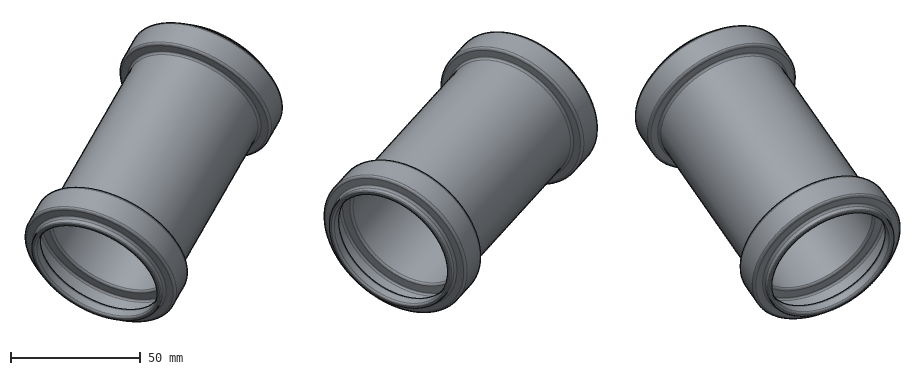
import cadquery as cq

length = 106.0
tube_radius = 54.9 / 2
bore_radius = 50.8 / 2
mouth_radius = 51.1 / 2
collar_radius = 64.1 / 2
groove_radius = 60.3 / 2

collar_start = 3.0
collar_end = 15.7
flank_taper = 0.5
collar_wall = collar_radius - groove_radius
groove_start = collar_start + collar_wall
groove_end = collar_end - collar_wall

crest_fillet = 1.1
root_fillet = 1.0
groove_fillet = 0.8
lip_fillet = 1.0
rim_outer_fillet = 0.4
rim_inner_fillet = 0.8

EDGE_TOLERANCE = 0.05
RADIAL_MARGIN = 1.1

ENDS = (-1, 1)


def end_y(side, distance):
    """Y position at the given distance inwards from one tube end."""
    return side * (length / 2 - distance)


def cylinder(radius, y_start, y_end):
    """Solid cylinder about the Y axis."""
    profile = cq.Workplane("XY").moveTo(0, y_start).lineTo(radius, y_start)
    profile = profile.lineTo(radius, y_end).lineTo(0, y_end).close()
    return profile.revolve(360, (0, 0, 0), (0, 1, 0))


def tapered_disc(side, front_radius, crest_radius, back_radius, start, end):
    """Disc about Y with tapered flanks; front is the flank nearest the tube end."""
    profile = cq.Workplane("XY").polyline(
        [
            (0, end_y(side, start)),
            (front_radius, end_y(side, start)),
            (crest_radius, end_y(side, start + flank_taper)),
            (crest_radius, end_y(side, end - flank_taper)),
            (back_radius, end_y(side, end)),
            (0, end_y(side, end)),
        ]
    )
    return profile.close().revolve(360, (0, 0, 0), (0, 1, 0))


def fillet_circles(body, circle_radius, y_positions, fillet_radius):
    """Round the circular edges of one radius at the given Y positions."""
    reach = circle_radius + RADIAL_MARGIN
    for y in y_positions:
        edge_box = cq.selectors.BoxSelector(
            (-reach, y - EDGE_TOLERANCE, -reach),
            (reach, y + EDGE_TOLERANCE, reach),
            boundingbox=True,
        )
        body = body.edges(edge_box).fillet(fillet_radius)
    return body


def add_collar(body, side):
    """Collar around the tube, and the rounded edges of this tube end."""
    collar = tapered_disc(side, tube_radius, collar_radius, tube_radius, collar_start, collar_end)
    body = body.union(collar)
    crests = [end_y(side, collar_start + flank_taper), end_y(side, collar_end - flank_taper)]
    body = fillet_circles(body, collar_radius, crests, crest_fillet)
    roots = [end_y(side, collar_start), end_y(side, collar_end)]
    body = fillet_circles(body, tube_radius, roots, root_fillet)
    return fillet_circles(body, tube_radius, [end_y(side, 0)], rim_outer_fillet)


def cut_seal_groove(body, side):
    """Wider mouth and the seal groove that hollows out the collar."""
    body = body.cut(cylinder(mouth_radius, end_y(side, 0), end_y(side, groove_start)))
    body = fillet_circles(body, mouth_radius, [end_y(side, 0)], rim_inner_fillet)

    groove = tapered_disc(side, mouth_radius, groove_radius, bore_radius, groove_start, groove_end)
    corners = [end_y(side, groove_start + flank_taper), end_y(side, groove_end - flank_taper)]
    body = body.cut(fillet_circles(groove, groove_radius, corners, groove_fillet))
    body = fillet_circles(body, mouth_radius, [end_y(side, groove_start)], lip_fillet)
    return fillet_circles(body, bore_radius, [end_y(side, groove_end)], lip_fillet)


tube = cylinder(tube_radius, -length / 2, length / 2)
for side in ENDS:
    tube = add_collar(tube, side)

tube = tube.cut(cylinder(bore_radius, -length / 2, length / 2))
for side in ENDS:
    tube = cut_seal_groove(tube, side)

result = tube